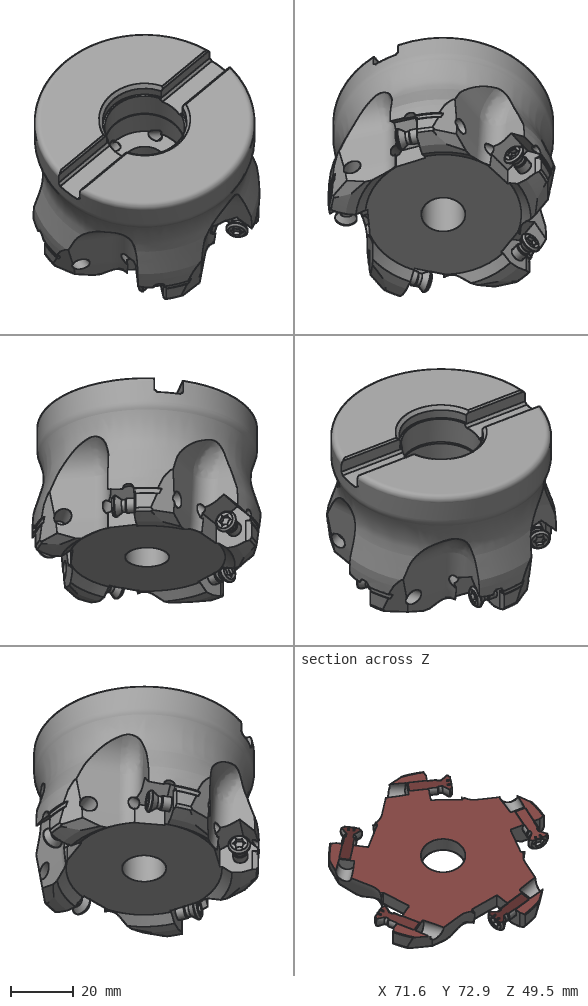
import cadquery as cq
import math

height = 49.5
rim_radius = 35.0
tooth_radius = 36.55
tooth_count = 5
tooth_pitch = 360 / tooth_count
first_tooth_angle = 35.2
margin = 1.45

rim_fillet = 2.0
rim_bottom_z = 40.4
shoulder_mid = (34.95, 39.5)
neck_top = (34.45, 37.95)
neck_waist = (32.9, 30.3)
neck_bottom = (33.8, 24.4)
flare_bottom = (36.35, 16.05)
band_top_z = 13.1
groove_top_z, groove_bottom_z = 9.3, 7.5
groove_depth = 0.2
land_radius = 36.35
land_bottom_z = 2.4
land_bevel = (35.75, 1.4)
foot_outer_radius = 31.1
foot_inner_radius = 27.9
base_recess_radius = 24.8
base_recess_z = 2.4

mouth_radius = 13.35
mouth_chamfer = 1.2
mouth_bottom_z = 45.25
bore_radius = 12.7
undercut_depth = 0.45
undercut_taper = 1.0
undercut_top_z = 36.2
shelf_z = 26.3
bolt_hole_radius = 7.0

slot_width = 9.3
slot_depth = 5.55
slot_corner_chamfer = 0.9
slot_edge_chamfer = 0.6

floor_x = 22.8
floor_arc_z = 20.65
floor_tilt = 2.5
floor_bend_z = 6.05
foot_tilt = 6.5
runout_radius = 12.7
wall_runout_radius = 23.35
bend_radius = 20.4
pocket_corner_radius = 6.0
leading_wall_y = -8.0
pocket_length = 36.5
pocket_outer_x = 43.8

flat_block_depth = 7.3
flat_block_width = 29.2
relief_angle = -39.0
relief_distance = 35.3
relief_tilt = 8.5
heel_angle = -33.9
heel_distance = 29.0
heel_tilt = 59.4

seat_y = 0.4
seat_apex = (30.7, 14.8)
seat_inner_x = 22.9
seat_shoulder_z = 9.8
seat_draft = 7.0
seat_outer_x = 39.4
seat_overrun = 4.4
corner_relief_radius = 1.75
corner_relief_z = 9.2
relief_start_x = 33.6
bevel_start_x = 34.45
bevel_drop = 0.7
bevel_top_z = 8.25

screw_x, screw_z = 30.65, 6.0
screw_head_y = -7.1
head_radius = 3.5
head_rim = 1.0
head_edge_chamfer = 0.7
head_cone = 2.05
neck_radius = 2.05
neck_length = 1.2
neck_taper = 0.4
shank_radius = 2.3
screw_tip_y = 6.6
socket_tip_radius = 2.05
socket_waist_radius = 1.45
socket_lobes = 6
socket_depth = 1.3

coolant_radius = 1.75
coolant_exit = (23.05, -9.55, 10.1)
coolant_entry_radius = 11.9
coolant_entry_angle = -62.0
coolant_overrun = 2.9
side_hole_radius = 2.6
side_hole_mouth = (22.3, -24.1, 7.6)
side_hole_turn = 18.8
side_hole_slope = 9.0
side_hole_depth = 6.6
side_hole_cut_length = 19.7


def polar(radius, angle):
    """Point at a radius and an angle in degrees."""
    return radius * math.cos(math.radians(angle)), radius * math.sin(math.radians(angle))


def around(shape):
    """Copies of a shape made for one tooth, one copy per tooth."""
    return [
        shape.rotate((0, 0, 0), (0, 0, 1), first_tooth_angle + k * tooth_pitch)
        for k in range(tooth_count)
    ]


def drill(start, direction, length, radius):
    """Cylinder from a start point along a direction."""
    return cq.Workplane(obj=cq.Solid.makeCylinder(radius, length, cq.Vector(*start), cq.Vector(*direction)))


def make_blank():
    """Turned body with its necked outside, shallow base recess and stepped bore."""
    return (
        cq.Workplane("XZ")
        .moveTo(bolt_hole_radius, base_recess_z)
        .lineTo(base_recess_radius, base_recess_z)
        .lineTo(foot_inner_radius, 0)
        .lineTo(foot_outer_radius, 0)
        .lineTo(*land_bevel)
        .lineTo(land_radius, land_bottom_z)
        .lineTo(land_radius, groove_bottom_z)
        .lineTo(land_radius - groove_depth, groove_bottom_z)
        .lineTo(land_radius - groove_depth, groove_top_z)
        .lineTo(tooth_radius, groove_top_z)
        .lineTo(tooth_radius, band_top_z)
        .lineTo(*flare_bottom)
        .lineTo(*neck_bottom)
        .threePointArc(neck_waist, neck_top)
        .threePointArc(shoulder_mid, (rim_radius, rim_bottom_z))
        .lineTo(rim_radius, height - rim_fillet)
        .radiusArc((rim_radius - rim_fillet, height), -rim_fillet)
        .lineTo(mouth_radius + mouth_chamfer, height)
        .lineTo(mouth_radius, height - mouth_chamfer)
        .lineTo(mouth_radius, mouth_bottom_z)
        .lineTo(bore_radius, mouth_bottom_z)
        .lineTo(bore_radius, undercut_top_z)
        .lineTo(bore_radius + undercut_depth, undercut_top_z - undercut_taper)
        .lineTo(bore_radius + undercut_depth, shelf_z)
        .lineTo(bolt_hole_radius, shelf_z)
        .close()
        .revolve(360, (0, 0, 0), (0, 1, 0))
    )


def make_drive_slot():
    """Slot across the top along Y, with chamfered bottom corners and top edges."""
    half = slot_width / 2
    bottom = height - slot_depth
    return (
        cq.Workplane("XZ")
        .polyline([
            (-half + slot_corner_chamfer, bottom),
            (half - slot_corner_chamfer, bottom),
            (half, bottom + slot_corner_chamfer),
            (half, height - slot_edge_chamfer),
            (half + slot_edge_chamfer, height),
            (half + slot_edge_chamfer, height + margin),
            (-half - slot_edge_chamfer, height + margin),
            (-half - slot_edge_chamfer, height),
            (-half, height - slot_edge_chamfer),
            (-half, bottom + slot_corner_chamfer),
        ])
        .close()
        .extrude(tooth_radius, both=True)
    )


def make_chip_pocket():
    """Pocket with a leaning floor and an upright leading wall, both running out in arcs at the top."""
    tilt = math.radians(floor_tilt)
    foot = math.radians(foot_tilt)
    bend_x = floor_x - (floor_arc_z - floor_bend_z) * math.tan(tilt)
    bend_reach = bend_radius * math.tan((foot - tilt) / 2)
    foot_z = -margin
    foot_x = bend_x - (floor_bend_z - foot_z) * math.tan(foot)
    arc_x = floor_x + runout_radius * math.cos(tilt)
    top_z = floor_arc_z + runout_radius * (1 - math.sin(tilt))
    mid_reach = runout_radius * math.sqrt(0.5)
    behind_floor = (
        cq.Workplane("XZ")
        .moveTo(pocket_outer_x, foot_z)
        .lineTo(foot_x, foot_z)
        .lineTo(bend_x - bend_reach * math.sin(foot), floor_bend_z - bend_reach * math.cos(foot))
        .tangentArcPoint(
            (bend_x + bend_reach * math.sin(tilt), floor_bend_z + bend_reach * math.cos(tilt)), relative=False
        )
        .lineTo(floor_x, floor_arc_z)
        .threePointArc((arc_x - mid_reach, top_z - runout_radius + mid_reach), (arc_x, top_z))
        .lineTo(pocket_outer_x, top_z)
        .close()
        .extrude(pocket_length - leading_wall_y)
    )
    wall_rise = top_z + margin - floor_arc_z
    wall_lean = wall_runout_radius - math.sqrt(wall_runout_radius**2 - wall_rise**2)
    beside_wall = (
        cq.Workplane("YZ")
        .moveTo(-pocket_length, foot_z)
        .lineTo(leading_wall_y, foot_z)
        .lineTo(leading_wall_y, floor_arc_z)
        .radiusArc((leading_wall_y - wall_lean, floor_arc_z + wall_rise), -wall_runout_radius)
        .lineTo(-pocket_length, floor_arc_z + wall_rise)
        .close()
        .extrude(pocket_outer_x)
    )
    inner_corner = cq.selectors.BoxSelector(
        (0, leading_wall_y - wall_lean, foot_z),
        (floor_x + pocket_corner_radius, leading_wall_y + margin, top_z - margin),
    )
    return behind_floor.intersect(beside_wall).edges(inner_corner).fillet(pocket_corner_radius)


def make_flat(angle, distance, z, tilt):
    """Block that planes the trailing side of a tooth to a flat leaning in towards the foot."""
    return (
        cq.Workplane("XY")
        .box(flat_block_depth, flat_block_width, 2 * rim_radius, centered=(False, True, True))
        .translate((0, -flat_block_width / 4, 0))
        .rotate((0, 0, 0), (0, 1, 0), tilt)
        .translate((distance, 0, z))
        .rotate((0, 0, 0), (0, 0, 1), angle)
    )


def make_insert_seat():
    """Recess in the leading wall for an insert: drafted inner walls under a plain sloping ceiling."""
    apex_x, apex_z = seat_apex
    mouth_y = leading_wall_y - margin
    over_z = apex_z + (seat_outer_x - apex_x) * (apex_z - seat_shoulder_z) / (apex_x - seat_inner_x)
    drafted = (
        cq.Workplane("XZ", origin=(0, mouth_y, 0))
        .polyline([
            (seat_inner_x, -seat_overrun),
            (seat_inner_x, seat_shoulder_z),
            (seat_outer_x, over_z),
            (seat_outer_x + seat_overrun, over_z),
            (seat_outer_x + seat_overrun, -seat_overrun),
        ])
        .close()
        .extrude(mouth_y - seat_y, taper=seat_draft)
    )
    below_ceiling = (
        cq.Workplane("XZ", origin=(0, seat_y, 0))
        .polyline([
            (apex_x - apex_z, 2 * apex_z),
            (apex_x + 2 * apex_z, -apex_z),
            (apex_x - apex_z, -apex_z),
        ])
        .close()
        .extrude(seat_y - mouth_y)
    )
    return drafted.intersect(below_ceiling)


def make_corner_relief():
    """Short round relief where the seat ceiling meets the outside of the tooth."""
    start = (relief_start_x, seat_y - corner_relief_radius, corner_relief_z)
    return drill(start, (1, 0, 0), tooth_radius - relief_start_x, corner_relief_radius)


def make_seat_bevel():
    """Bevel on the outer edge of the seat."""
    return (
        cq.Workplane("XY", origin=(0, 0, -margin))
        .polyline([
            (bevel_start_x, seat_y),
            (tooth_radius, seat_y + bevel_drop),
            (tooth_radius + margin, seat_y + bevel_drop),
            (tooth_radius + margin, seat_y),
        ])
        .close()
        .extrude(bevel_top_z + margin)
    )


def make_coolant_hole():
    """Hole sloping from the bore shelf out to the chip pocket corner."""
    entry = cq.Vector(*polar(coolant_entry_radius, coolant_entry_angle), shelf_z)
    run = cq.Vector(*coolant_exit) - entry
    start = entry - run.normalized() * margin
    return drill(start.toTuple(), run.toTuple(), run.Length + margin + coolant_overrun, coolant_radius)


def make_side_hole():
    """Flat-bottomed blind hole in the outer part of the pocket floor."""
    heading = cq.Vector(*polar(1, side_hole_turn), math.tan(math.radians(side_hole_slope))).normalized()
    bottom = cq.Vector(*side_hole_mouth) - heading * side_hole_depth
    return drill(bottom.toTuple(), heading.toTuple(), side_hole_cut_length, side_hole_radius)


def make_screw_hole():
    """Hole in the seat that holds the screw shank."""
    return drill((screw_x, seat_y, screw_z), (0, 1, 0), screw_tip_y - seat_y, shank_radius)


def make_screw():
    """Clamp screw with a tapered head and a six-lobe socket, lying along Y."""
    length = screw_tip_y - screw_head_y
    neck_start = head_rim + head_cone
    neck_end = neck_start + neck_length
    blank = (
        cq.Workplane("XZ")
        .polyline([
            (0, 0),
            (head_radius - head_edge_chamfer, 0),
            (head_radius, head_edge_chamfer),
            (head_radius, head_rim),
            (neck_radius, neck_start),
            (neck_radius, neck_end),
            (shank_radius, neck_end + neck_taper),
            (shank_radius, length),
            (0, length),
        ])
        .close()
        .revolve(360, (0, 0, 0), (0, 1, 0))
    )
    step = 360 / socket_lobes
    socket = cq.Workplane("XY").moveTo(socket_tip_radius, 0)
    for lobe in range(socket_lobes):
        waist = polar(socket_waist_radius, (lobe + 0.5) * step)
        tip = polar(socket_tip_radius, (lobe + 1) * step)
        socket = socket.threePointArc(waist, tip)
    return (
        blank.cut(socket.close().extrude(socket_depth))
        .rotate((0, 0, 0), (1, 0, 0), -90)
        .translate((screw_x, screw_head_y, screw_z))
    )


cutter = make_blank().cut(make_drive_slot())
for feature in (
    make_chip_pocket(),
    make_flat(relief_angle, relief_distance, flare_bottom[1], relief_tilt),
    make_flat(heel_angle, heel_distance, 0, heel_tilt),
    make_insert_seat(),
    make_corner_relief(),
    make_seat_bevel(),
    make_coolant_hole(),
    make_side_hole(),
    make_screw_hole(),
):
    for copy in around(feature):
        cutter = cutter.cut(copy)

screws = around(make_screw())

result = cq.Compound.makeCompound([cutter.val(), *[screw.val() for screw in screws]])